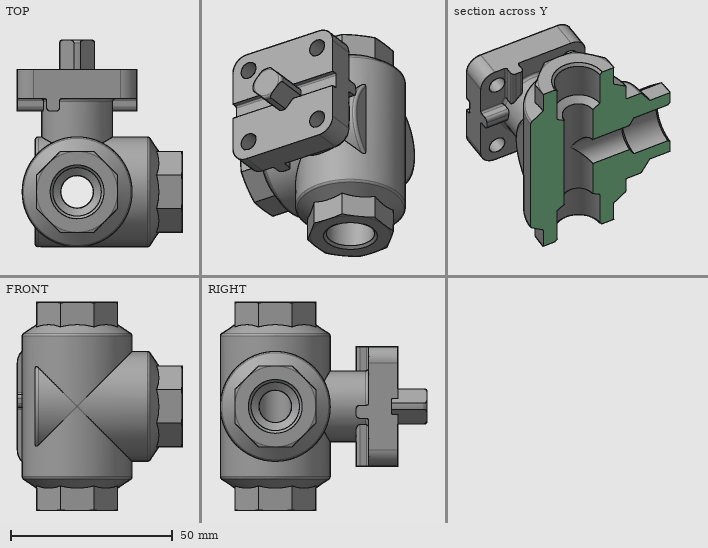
import cadquery as cq
import math

run_reach = 32.25
branch_reach = 32.5

body_diameter = 34.0
shoulder_start = 22.25
shoulder_angle = 34.0
shoulder_inner_radius = 11.6
edge_round = 0.95
stub_reach = 12.95

port_sides = 8
octagon_flats = 25.0
port_chamfer_height = 0.25
bore_diameter = 14.95
bore_depth = 12.9
bore_chamfer = 0.85
passage_diameter = 10.0
drill_half_angle = 59.0

neck_diameter = 22.0
neck_root_round = 0.9
plate_width = 37.0
plate_inner = 28.8
plate_outer = 37.85
plate_corner_round = 5.0
mount_hole_diameter = 5.5
mount_hole_spacing = 25.4
slot_width = 5.0
slot_depth = 1.95
slot_corner_round = 0.5

rib_width = 4.05
rib_height = 3.9
side_rib_offset = 1.7
end_rib_offset = 7.4
rib_edge_round = 1.2
rib_root_round = 0.65

stem_flats = 8.95
stem_diameter = 10.9
stem_end = 46.95
stem_end_round = 0.95

pick_margin = 0.3

body_radius = body_diameter / 2
octagon_corner_diameter = octagon_flats / math.cos(math.pi / port_sides)
plate_half = plate_width / 2


def xz_plane(y):
    """Plane at height y whose local axes are X and Z; a negative extrusion goes towards +Y."""
    return cq.Workplane("XZ", origin=(0, y, 0))


def octagon(height):
    """Octagonal prism standing on the XY plane, end face corners chamfered to a circle."""
    prism = cq.Workplane("XY").polygon(port_sides, octagon_corner_diameter).extrude(height)
    prism = prism.rotate((0, 0, 0), (0, 0, 1), 180 / port_sides)
    corner_radius = octagon_corner_diameter / 2
    envelope = (
        cq.Workplane("XZ")
        .polyline([
            (0, 0),
            (corner_radius, 0),
            (corner_radius, height - port_chamfer_height),
            (octagon_flats / 2, height),
            (0, height),
        ])
        .close()
        .revolve(360, (0, 0), (0, 1))
    )
    return prism.intersect(envelope)


def half_barrel(reach):
    """Barrel from the XY plane upwards with a conical shoulder and an octagonal end."""
    shoulder_rise = (body_radius - shoulder_inner_radius) * math.tan(math.radians(shoulder_angle))
    shoulder_end = shoulder_start + shoulder_rise
    barrel = (
        cq.Workplane("XZ")
        .polyline([
            (0, 0),
            (body_radius, 0),
            (body_radius, shoulder_start),
            (shoulder_inner_radius, shoulder_end),
            (0, shoulder_end),
        ])
        .close()
        .revolve(360, (0, 0), (0, 1))
        .edges(cq.selectors.BoxSelector((-body_diameter, -body_diameter, shoulder_start - pick_margin),
                                        (body_diameter, body_diameter, shoulder_start + pick_margin)))
        .fillet(edge_round)
    )
    return barrel.union(octagon(reach))


def port_bore(reach):
    """Chamfered bore with a drill-point bottom that narrows into the central passage."""
    bore_radius = bore_diameter / 2
    passage_radius = passage_diameter / 2
    bottom = reach - bore_depth
    point = (bore_radius - passage_radius) / math.tan(math.radians(drill_half_angle))
    return (
        cq.Workplane("XZ")
        .polyline([
            (0, 0),
            (passage_radius, 0),
            (passage_radius, bottom - point),
            (bore_radius, bottom),
            (bore_radius, reach - bore_chamfer),
            (bore_radius + bore_chamfer, reach),
            (0, reach),
        ])
        .close()
        .revolve(360, (0, 0), (0, 1))
    )


def to_bottom(shape):
    return shape.rotate((0, 0, 0), (1, 0, 0), 180)


def to_branch(shape):
    return shape.rotate((0, 0, 0), (0, 1, 0), 90)


def rib(offset):
    """Rib along +X from the stem axis to the plate edge, at Z = offset."""
    half = rib_width / 2
    root = half + rib_root_round
    tip = plate_inner - rib_height
    profile = (
        cq.Workplane("YZ")
        .moveTo(plate_inner, offset - root)
        .radiusArc((plate_inner - rib_root_round, offset - half), -rib_root_round)
        .lineTo(tip + rib_edge_round, offset - half)
        .radiusArc((tip, offset - half + rib_edge_round), rib_edge_round)
        .lineTo(tip, offset + half - rib_edge_round)
        .radiusArc((tip + rib_edge_round, offset + half), rib_edge_round)
        .lineTo(plate_inner - rib_root_round, offset + half)
        .radiusArc((plate_inner, offset + root), -rib_root_round)
        .close()
    )
    return profile.extrude(plate_half)


def turned(shape, angle):
    """Turn a shape about the stem axis."""
    return shape.rotate((0, 0, 0), (0, 1, 0), angle)


stub = (
    cq.Workplane("YZ")
    .circle(body_radius)
    .extrude(-stub_reach)
    .faces("<X")
    .edges()
    .fillet(edge_round)
)
body = (
    half_barrel(run_reach)
    .union(to_bottom(half_barrel(run_reach)))
    .union(to_branch(half_barrel(branch_reach)))
    .union(stub)
)

plate = (
    xz_plane(plate_inner)
    .rect(plate_width, plate_width)
    .extrude(plate_inner - plate_outer)
    .edges("|Y")
    .fillet(plate_corner_round)
)
neck = xz_plane(0).circle(neck_diameter / 2).extrude(-plate_inner)
mount = plate.union(neck)
neck_root_limit = neck_diameter / 2 + pick_margin
neck_root = cq.selectors.BoxSelector(
    (-neck_root_limit, plate_inner - pick_margin, -neck_root_limit),
    (neck_root_limit, plate_inner + pick_margin, neck_root_limit),
    boundingbox=True,
)
mount = mount.edges(neck_root).fillet(neck_root_round)

for half_turn in (0, 180):
    mount = mount.union(turned(rib(-side_rib_offset), half_turn))
    mount = mount.union(turned(rib(end_rib_offset), 90 + half_turn))

slot = (
    cq.Workplane("XY")
    .box(plate_width, 2 * slot_depth, slot_width)
    .edges("|X and <Y")
    .fillet(slot_corner_round)
    .translate((0, plate_outer, 0))
)
mount = mount.cut(slot)

mount_holes = (
    xz_plane(plate_inner)
    .rect(mount_hole_spacing, mount_hole_spacing, forConstruction=True)
    .vertices()
    .circle(mount_hole_diameter / 2)
    .extrude(plate_inner - plate_outer)
)
mount = mount.cut(mount_holes)

stem_length = stem_end - plate_inner
stem_round = (
    xz_plane(plate_inner)
    .circle(stem_diameter / 2)
    .extrude(-stem_length)
    .faces(">Y")
    .edges()
    .fillet(stem_end_round)
)
stem_square = turned(xz_plane(plate_inner).rect(stem_flats, stem_flats).extrude(-stem_length), 45)
stem = stem_round.intersect(stem_square)

run_bore = port_bore(run_reach)
result = (
    body.union(mount)
    .union(stem)
    .cut(run_bore)
    .cut(to_bottom(run_bore))
    .cut(to_branch(port_bore(branch_reach)))
)